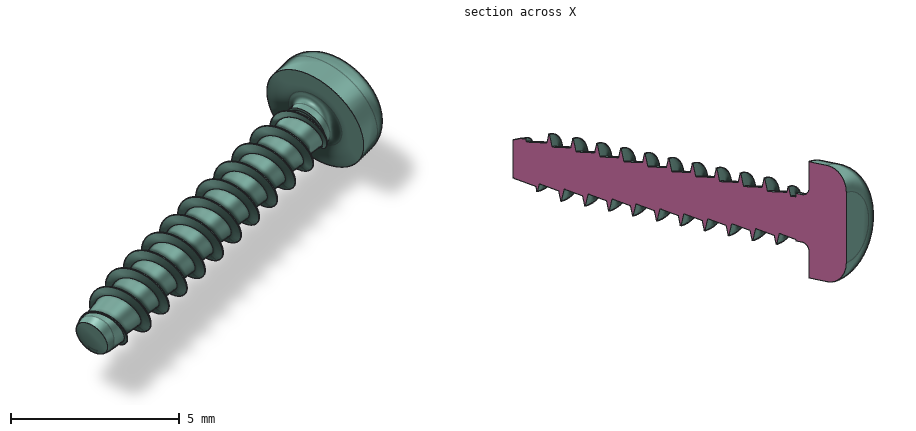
import cadquery as cq
import math


HEAD_RADIUS = 1.8
HEAD_HEIGHT = 1.4
HEAD_ROUND = 0.72
NECK_RADIUS = 0.74
NECK_FILLET = 0.25
NECK_LENGTH = 0.48

SHANK_LENGTH = 11.0
ROOT_RADIUS = 0.615
BULGE_RADIUS = 0.72
BULGE_END_RADIUS = 0.605
TIP_RADIUS = 0.585
ENVELOPE_CLEARANCE = 0.01
TIP_TAPER_LENGTH = 0.4
BURIED_RADIUS = 0.45

PITCH = 0.889
THREAD_RADIUS = 1.0
CREST_WIDTH = 0.04
BULGE_SPAN = 0.97 * PITCH
FLANK_SLOPE = math.tan(math.radians(15))
FIRST_CREST_Y = -0.54
FULL_THREAD_TOP_Y = FIRST_CREST_Y - PITCH
FULL_THREAD_BOTTOM_Y = -9.6
RUN_IN_CREST_RADIUS = 0.845
MIN_CREST_HEIGHT = 0.025

TOP_OVERRUN_TURNS = 1.125
TIP_OVERRUN = 0.3
HELIX_TOP_Y = FIRST_CREST_Y + TOP_OVERRUN_TURNS * PITCH
HELIX_BOTTOM_Y = -SHANK_LENGTH - TIP_OVERRUN
POINTS_PER_TURN = 24


def turned(outline):
    return outline.close().revolve(360, (0, 0, 0), (0, 1, 0))


def make_head_and_neck():
    shoulder = HEAD_HEIGHT - HEAD_ROUND
    diagonal = HEAD_ROUND * math.sqrt(0.5)
    fillet_mid = NECK_FILLET * (1 - math.sqrt(0.5))
    return turned(
        cq.Workplane("XY")
        .moveTo(0, HEAD_HEIGHT)
        .lineTo(HEAD_RADIUS - HEAD_ROUND, HEAD_HEIGHT)
        .threePointArc(
            (HEAD_RADIUS - HEAD_ROUND + diagonal, shoulder + diagonal),
            (HEAD_RADIUS, shoulder),
        )
        .lineTo(HEAD_RADIUS, 0)
        .lineTo(NECK_RADIUS + NECK_FILLET, 0)
        .threePointArc(
            (NECK_RADIUS + fillet_mid, -fillet_mid),
            (NECK_RADIUS, -NECK_FILLET),
        )
        .lineTo(NECK_RADIUS, -NECK_LENGTH)
        .lineTo(0, -NECK_LENGTH)
    )


def make_shank_envelope(radius):
    """Cylinder from the neck to the tip, with its end tapered to the tip radius."""
    taper_length = TIP_TAPER_LENGTH * (radius - TIP_RADIUS) / (BULGE_RADIUS - TIP_RADIUS)
    return turned(
        cq.Workplane("XY")
        .moveTo(0, -NECK_LENGTH)
        .lineTo(radius, -NECK_LENGTH)
        .lineTo(radius, -SHANK_LENGTH + taper_length)
        .lineTo(TIP_RADIUS, -SHANK_LENGTH)
        .lineTo(0, -SHANK_LENGTH)
    )


def helical_solid(section_at):
    """Carry a section down the helix, with one face per side and turn.

    section_at(y) lists the (radius, offset along Y) corners of the section at height y.
    """
    steps = math.ceil((HELIX_TOP_Y - HELIX_BOTTOM_Y) / PITCH * POINTS_PER_TURN)
    paths = [[] for _ in section_at(HELIX_TOP_Y)]
    for i in range(steps + 1):
        y = HELIX_TOP_Y - PITCH * i / POINTS_PER_TURN
        angle = 2 * math.pi * (FIRST_CREST_Y - y) / PITCH
        for path, (radius, offset) in zip(paths, section_at(y)):
            path.append(cq.Vector(radius * math.cos(angle), y + offset, radius * math.sin(angle)))
    faces = []
    for first in range(0, steps, POINTS_PER_TURN):
        last = min(first + POINTS_PER_TURN, steps)
        stations = [float(i) for i in range(last - first + 1)]
        edges = [cq.Edge.makeSpline(path[first:last + 1], parameters=stations) for path in paths]
        neighbours = edges[1:] + edges[:1]
        faces += [cq.Face.makeRuledSurface(a, b) for a, b in zip(edges, neighbours)]
    for end in (0, -1):
        corners = [path[end] for path in paths]
        faces.append(cq.Face.makeFromWires(cq.Wire.makePolygon(corners, close=True)))
    return cq.Workplane(cq.Solid.makeSolid(cq.Shell.makeShell(faces)))


def bulge_section(y):
    """Ramp that falls towards the tip and sinks into the root core before the next turn."""
    end_offset = -BULGE_SPAN
    return [
        (BURIED_RADIUS, 0),
        (min(BULGE_RADIUS, crest_radius(y) - MIN_CREST_HEIGHT), 0),
        (BULGE_END_RADIUS, end_offset),
        (BURIED_RADIUS, end_offset),
    ]


def crest_radius(y):
    """Full height along the shank, lower towards the neck and fading out at the tip."""
    if y > FULL_THREAD_TOP_Y:
        rise = (THREAD_RADIUS - RUN_IN_CREST_RADIUS) / PITCH
        return THREAD_RADIUS - rise * (y - FULL_THREAD_TOP_Y)
    if y < FULL_THREAD_BOTTOM_Y:
        fall = (THREAD_RADIUS - TIP_RADIUS) / (SHANK_LENGTH + FULL_THREAD_BOTTOM_Y)
        return THREAD_RADIUS - fall * (FULL_THREAD_BOTTOM_Y - y)
    return THREAD_RADIUS


def thread_section(y):
    crest = crest_radius(y)
    half_crest = CREST_WIDTH / 2
    half_base = half_crest + FLANK_SLOPE * (crest - BURIED_RADIUS)
    return [
        (BURIED_RADIUS, half_base),
        (crest, half_crest),
        (crest, -half_crest),
        (BURIED_RADIUS, -half_base),
    ]


def make_threaded_shank():
    core = make_shank_envelope(ROOT_RADIUS)
    bulge = helical_solid(bulge_section)
    bulge = bulge.intersect(make_shank_envelope(BULGE_RADIUS + ENVELOPE_CLEARANCE))
    thread = helical_solid(thread_section)
    shank_space = (
        cq.Workplane("XZ", origin=(0, -NECK_LENGTH, 0))
        .circle(2 * THREAD_RADIUS)
        .extrude(SHANK_LENGTH - NECK_LENGTH)
    )
    return core.union(bulge).union(thread.intersect(shank_space))


screw = make_head_and_neck().union(make_threaded_shank())
result = cq.Workplane(screw.solids().val())